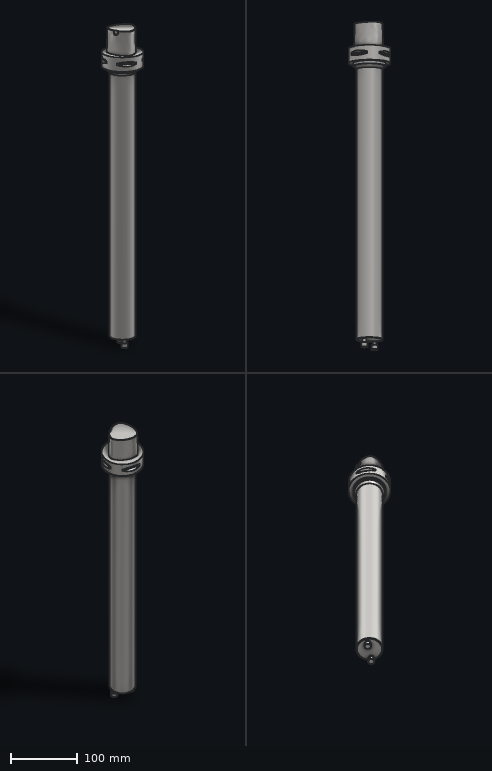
import cadquery as cq
import math

total_height = 498
body_bottom = 13.0
body_top = 428.5
neck_height = 5
flange_bottom = 437.5
flange_top = 460.0

body_diameter = 40
body_chamfer = 1.0
neck_diameter = 46.0
collar_diameter = 50
flange_diameter = 63.0

shank_width = 44.5
lobe_height = 1.75
shank_taper = 0.04
shank_chamfer = 0.5
curve_points = 72

keyway_width = 7.0
keyway_height = 7.0
keyway_depth = 1.5

groove_distance = 28.0
groove_floor_height = 2.5
groove_mouth_height = 7.5
groove_center_height = 449.0

bolt_offset = 10
bolt_head_diameter = 10
bolt_head_height = 7.0
bolt_head_chamfer = 0.5
bolt_stem_diameter = 6.0


def cylinder(diameter, bottom, top):
    return cq.Workplane("XY", origin=(0, 0, bottom)).circle(diameter / 2).extrude(top - bottom)


def make_body():
    body = cylinder(body_diameter, body_bottom, body_top).faces("<Z").chamfer(body_chamfer)
    neck_top = body_top + neck_height
    neck = (
        cq.Workplane("XY", origin=(0, 0, body_top))
        .circle(body_diameter / 2)
        .workplane(offset=neck_height)
        .circle(neck_diameter / 2)
        .loft()
    )
    collar = cylinder(collar_diameter, neck_top, flange_bottom)
    flange = cylinder(flange_diameter, flange_bottom, flange_top)
    return body.union(neck).union(collar).union(flange)


def lobed_outline(width):
    """Closed curve of constant width, with one lobe pointing along +Y."""

    def point(turn):
        angle = 2 * math.pi * turn
        lobe_angle = 3 * (angle - math.pi / 2)
        reach = width / 2 + lobe_height * math.cos(lobe_angle)
        slope = -3 * lobe_height * math.sin(lobe_angle)
        x = reach * math.cos(angle) - slope * math.sin(angle)
        y = reach * math.sin(angle) + slope * math.cos(angle)
        return x, y

    return [point(i / curve_points) for i in range(curve_points)]


def make_shank():
    height = total_height - flange_top
    top_width = shank_width - shank_taper * height
    return (
        cq.Workplane("XY", origin=(0, 0, flange_top))
        .spline(lobed_outline(shank_width), periodic=True)
        .close()
        .workplane(offset=height)
        .spline(lobed_outline(top_width), periodic=True)
        .close()
        .loft(ruled=True)
        .faces(">Z")
        .chamfer(shank_chamfer)
    )


def make_keyway():
    """Round-bottomed slot open at the top of the shank."""
    top_width = shank_width - shank_taper * (total_height - flange_top)
    floor_y = -(top_width / 2 - lobe_height) + keyway_depth
    radius = keyway_width / 2
    arc_z = total_height - keyway_height + radius
    return (
        cq.Workplane("XZ", origin=(0, floor_y, 0))
        .moveTo(-radius, total_height)
        .lineTo(-radius, arc_z)
        .threePointArc((0, arc_z - radius), (radius, arc_z))
        .lineTo(radius, total_height)
        .close()
        .extrude(shank_width)
    )


def make_groove(angle):
    """Tapered groove with a flat floor, square to the given direction."""
    rim = flange_diameter / 2
    half_floor = groove_floor_height / 2
    half_mouth = groove_mouth_height / 2
    return (
        cq.Workplane("XZ", origin=(0, rim, groove_center_height))
        .moveTo(groove_distance, -half_floor)
        .lineTo(rim, -half_mouth)
        .lineTo(rim, half_mouth)
        .lineTo(groove_distance, half_floor)
        .close()
        .extrude(flange_diameter)
        .rotate((0, 0, 0), (0, 0, 1), angle)
    )


def make_bolt(x, y):
    head = cylinder(bolt_head_diameter, 0, bolt_head_height).faces("<Z").chamfer(bolt_head_chamfer)
    stem = cylinder(bolt_stem_diameter, bolt_head_height, body_bottom)
    return head.union(stem).translate((x, y, 0))


result = make_body().union(make_shank()).cut(make_keyway())
for groove_angle in (45, 135, 225, 315):
    result = result.cut(make_groove(groove_angle))
for side in (-1, 1):
    result = result.union(make_bolt(side * bolt_offset, -side * bolt_offset))